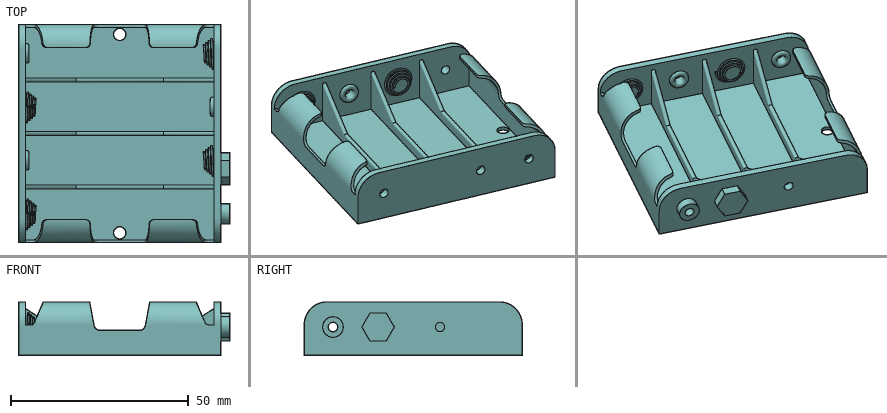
import cadquery as cq
import math


overall_length = 59.56
length = 57.0
width = 61.47
height = 15.11
end_wall = 2.0
side_wall = 0.8
floor = 1.0
corner_radius = 6.5
shoulder_height = height - corner_radius

half_length = length / 2
half_width = width / 2
inner_x = half_length - end_wall
inner_y = half_width - side_wall

cell_pitch = 15.07
cell_axis_z = 8.0
cell_y = [cell_pitch * (1.5 - i) for i in range(4)]

middle_gap_floor = 7.1
middle_gap_half_top = 8.45
middle_gap_half_bottom = 6.93
middle_gap_radius = 1.6
cover_end_top = 21.55
cover_end_bottom = 24.3
cover_end_radius = 1.3
cover_tip_radius = 1.2

divider_thickness = 1.2
divider_end_height = 13.2
divider_middle_height = 4.0
divider_bend_x = 12.3
divider_edge_radius = 0.5

screw_hole_diameter = 3.4
screw_hole_y = 27.95
contact_hole_diameter = 2.6

ring_diameter = 5.55
ring_height = 1.0
ring_edge_radius = 0.7

snap_length = overall_length - length
snap_spacing = 12.7
hex_across_flats = 7.9
stud_diameter = 5.8
stud_y = cell_y[3]
hex_y = stud_y + snap_spacing

wire_diameter = 0.5
spring_base_radius = 4.25
spring_tip_radius = 2.2
spring_height = 3.0
spring_turns = 3.5

ring_places = [(-1, 0), (1, 1), (-1, 2)]
spring_places = [(1, 0), (-1, 1), (1, 2), (-1, 3)]


def rounded_section(half_y, bottom, top, radius):
    """YZ outline with rounded upper corners, drawn at X = 0."""
    diagonal = radius * math.sqrt(0.5)
    centre_y = half_y - radius
    centre_z = top - radius
    return (
        cq.Workplane("YZ")
        .moveTo(-half_y, bottom)
        .lineTo(half_y, bottom)
        .lineTo(half_y, centre_z)
        .threePointArc((centre_y + diagonal, centre_z + diagonal), (centre_y, top))
        .lineTo(-centre_y, top)
        .threePointArc((-centre_y - diagonal, centre_z + diagonal), (-half_y, centre_z))
        .close()
    )


def x_cylinder(diameter, x_start, x_end, y):
    """Round bar along X at the height of the cell axes."""
    return (
        cq.Workplane("YZ", origin=(x_start, y, cell_axis_z))
        .circle(diameter / 2)
        .extrude(x_end - x_start)
    )


def make_shell():
    """Open-topped tray whose long sides curl inward over the outer cells."""
    outer = rounded_section(half_width, 0, height, corner_radius).extrude(half_length, both=True)
    cavity = rounded_section(
        inner_y, floor, height - side_wall, corner_radius - side_wall
    ).extrude(inner_x, both=True)
    opening = (
        cq.Workplane("XY", origin=(0, 0, shoulder_height))
        .rect(2 * inner_x, 2 * (half_width - corner_radius))
        .extrude(height)
    )
    return outer.cut(cavity).cut(opening)


def make_middle_gap():
    """Tapered gap that splits each cover into two tabs."""
    return (
        cq.Workplane("XZ")
        .polyline([
            (-middle_gap_half_bottom, middle_gap_floor),
            (middle_gap_half_bottom, middle_gap_floor),
            (middle_gap_half_top, height),
            (-middle_gap_half_top, height),
        ])
        .close()
        .extrude(half_width, both=True)
        .edges("|Y and <Z")
        .fillet(middle_gap_radius)
    )


def make_end_gap(side):
    """Tapered gap between a cover tab and the end wall on the given X side."""
    return (
        cq.Workplane("XZ")
        .polyline([
            (side * inner_x, shoulder_height),
            (side * cover_end_bottom, shoulder_height),
            (side * cover_end_top, height),
            (side * inner_x, height),
        ])
        .close()
        .extrude(half_width, both=True)
        .edges(cq.selectors.NearestToPointSelector((side * cover_end_bottom, 0, shoulder_height)))
        .fillet(cover_end_radius)
    )


def round_cover_tips(housing):
    """Round the free corners of the four cover tabs."""
    tip_y = half_width - corner_radius
    tip_z = height - side_wall / 2
    for x_side in (-1, 1):
        for y_side in (-1, 1):
            for corner_x in (middle_gap_half_top, cover_end_top):
                corner = (x_side * corner_x, y_side * tip_y, tip_z)
                corner_edge = cq.selectors.NearestToPointSelector(corner)
                housing = housing.edges(corner_edge).fillet(cover_tip_radius)
    return housing


def make_divider(y):
    """Low wall between two cells that rises toward both end walls."""
    return (
        cq.Workplane("XZ", origin=(0, y, 0))
        .polyline([
            (-inner_x, 0),
            (inner_x, 0),
            (inner_x, divider_end_height),
            (divider_bend_x, divider_middle_height),
            (-divider_bend_x, divider_middle_height),
            (-inner_x, divider_end_height),
        ])
        .close()
        .extrude(divider_thickness / 2, both=True)
        .faces("<Y or >Y")
        .edges("not(|Z or <Z)")
        .fillet(divider_edge_radius)
    )


def make_ring(x_side, y):
    """Raised contact ring with rounded rims on the inside of an end wall."""
    base_x = x_side * inner_x
    rim_x = base_x - x_side * ring_height
    ring = x_cylinder(ring_diameter, base_x, rim_x, y)
    ring = ring.cut(x_cylinder(contact_hole_diameter, base_x, rim_x, y))
    rim = "<X" if x_side > 0 else ">X"
    return ring.faces(rim).edges().fillet(ring_edge_radius)


def make_hex_terminal():
    """Hexagonal snap terminal with flats facing up and down."""
    across_corners = hex_across_flats / math.cos(math.pi / 6)
    return (
        cq.Workplane("YZ", origin=(half_length, hex_y, cell_axis_z))
        .polygon(6, across_corners)
        .extrude(snap_length)
    )


def make_housing():
    """Tray with covers, dividers, contact rings and snap terminals."""
    housing = make_shell().cut(make_middle_gap()).cut(make_end_gap(-1)).cut(make_end_gap(1))
    housing = round_cover_tips(housing)

    for i in (-1, 0, 1):
        housing = housing.union(make_divider(i * cell_pitch))

    for x_side, cell in ring_places:
        housing = housing.union(make_ring(x_side, cell_y[cell]))
        wall_hole = x_cylinder(
            contact_hole_diameter, x_side * inner_x, x_side * half_length, cell_y[cell]
        )
        housing = housing.cut(wall_hole)

    housing = housing.union(make_hex_terminal())
    stud = x_cylinder(stud_diameter, half_length, half_length + snap_length, stud_y)
    stud_hole = x_cylinder(contact_hole_diameter, -half_length, half_length + snap_length, stud_y)
    housing = housing.union(stud).cut(stud_hole)

    screw_holes = (
        cq.Workplane("XY")
        .pushPoints([(0, -screw_hole_y), (0, screw_hole_y)])
        .circle(screw_hole_diameter / 2)
        .extrude(floor)
    )
    return housing.cut(screw_holes)


def make_spring(x_side, y):
    """Conical wire coil standing on an end wall and narrowing toward the cell."""
    climb = spring_height - wire_diameter
    taper = math.atan2(spring_base_radius - spring_tip_radius, climb)
    slant = climb / math.cos(taper)
    path = cq.Wire.makeHelix(
        slant / spring_turns, slant, spring_base_radius, angle=-math.degrees(taper)
    )
    coil = (
        cq.Workplane("XZ", origin=(spring_base_radius, 0, 0))
        .circle(wire_diameter / 2)
        .sweep(cq.Workplane(path), isFrenet=True)
        .translate((0, 0, wire_diameter / 2))
    )
    seat = cq.Plane(
        origin=(x_side * inner_x, y, cell_axis_z), xDir=(0, -1, 0), normal=(-x_side, 0, 0)
    )
    return coil.val().moved(cq.Location(seat))


housing = make_housing()
springs = [make_spring(x_side, cell_y[cell]) for x_side, cell in spring_places]

result = cq.Compound.makeCompound([housing.val(), *springs])